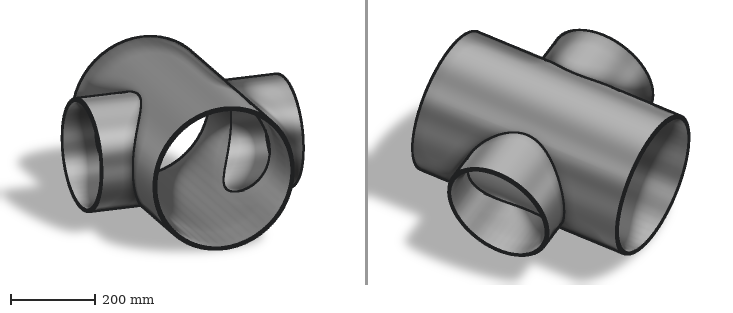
import cadquery as cq

run_length = 559.0
run_diameter = 356.0
branch_span = 514.0
branch_diameter = 273.0
wall = 6.0
land = 4.2
bevel_length = 1.95


def along_x(diameter, length):
    """Solid cylinder centred on the origin, along X."""
    return cq.Workplane("YZ", origin=(-length / 2, 0, 0)).circle(diameter / 2).extrude(length)


def bevelled_along_x(diameter, length):
    """Cylinder along X whose outer end edges are bevelled down to the rim land."""
    radius = diameter / 2
    rim_radius = radius - wall + land
    end = length / 2
    shoulder = end - bevel_length
    return (
        cq.Workplane("XZ")
        .moveTo(-end, 0)
        .lineTo(-end, rim_radius)
        .lineTo(-shoulder, radius)
        .lineTo(shoulder, radius)
        .lineTo(end, rim_radius)
        .lineTo(end, 0)
        .close()
        .revolve(360, (0, 0, 0), (1, 0, 0))
    )


def turned_to_y(body):
    """Turn a body lying along X so that it lies along Y."""
    return body.rotate((0, 0, 0), (0, 0, 1), 90)


run = bevelled_along_x(run_diameter, run_length)
branches = turned_to_y(bevelled_along_x(branch_diameter, branch_span))

run_bore = along_x(run_diameter - 2 * wall, run_length)
branch_bore = turned_to_y(along_x(branch_diameter - 2 * wall, branch_span))

result = run.union(branches).cut(run_bore).cut(branch_bore)